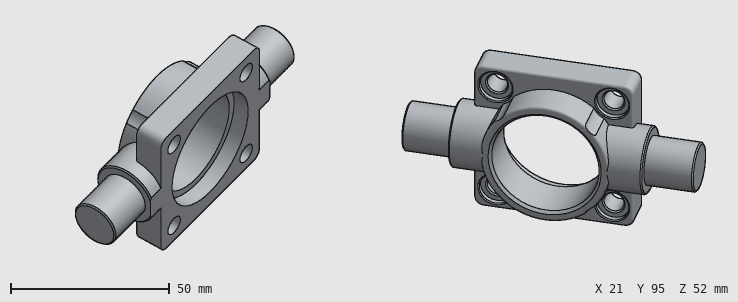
import cadquery as cq

OVERALL_LENGTH = 95.0
PIN_DIAMETER = 16.0
COLLAR_LENGTH = 63.1
COLLAR_DIAMETER = 22.0
TRUNNION_CHAMFER = 0.5

PLATE_SIDE = 52.0
PLATE_THICKNESS = 10.0
PLATE_CORNER_RADIUS = 3.0
EDGE_RADIUS = 0.95

RING_DIAMETER = 42.0
RING_HEIGHT = COLLAR_DIAMETER / 2
BORE_DIAMETER = 35.0
BORE_CHAMFER = 0.95
REAR_RECESS_DIAMETER = 40.1
REAR_RECESS_DEPTH = 5.5

BOLT_SPACING = 38.0
BOLT_HOLE_DIAMETER = 6.6
BOLT_HOLE_CHAMFER = 0.5
COUNTERBORE_DIAMETER = 10.7
COUNTERBORE_DEPTH = 2.0
COUNTERBORE_CHAMFER = 0.4
BOLT_HEAD_CLEARANCE_DIAMETER = 12.9


def cylinder_along_x(diameter, start, end):
    return cq.Workplane("YZ", origin=(start, 0, 0)).circle(diameter / 2).extrude(end - start)


def chamfered_cylinder_along_y(diameter, length):
    rod = cq.Workplane("XZ").circle(diameter / 2).extrude(length / 2, both=True)
    return rod.faces("<Y or >Y").chamfer(TRUNNION_CHAMFER)


def countersink_along_x(diameter, chamfer, start):
    """Cone that breaks the front edge of a hole of the given diameter."""
    mouth = cq.Workplane("YZ", origin=(start, 0, 0)).circle(diameter / 2 + chamfer)
    return mouth.workplane(offset=chamfer).circle(diameter / 2).loft()


def make_plate():
    plate = cq.Workplane("YZ").rect(PLATE_SIDE, PLATE_SIDE).extrude(PLATE_THICKNESS)
    plate = plate.edges("|X").fillet(PLATE_CORNER_RADIUS)
    return plate.faces("<X").edges().fillet(EDGE_RADIUS)


def make_ring():
    ring = cylinder_along_x(RING_DIAMETER, -RING_HEIGHT, PLATE_THICKNESS)
    ring = ring.faces("<X").edges().fillet(EDGE_RADIUS)
    clearance = cylinder_along_x(BOLT_HEAD_CLEARANCE_DIAMETER, -RING_HEIGHT, 0)
    return ring.cut(at_bolt_positions(clearance))


def make_trunnion():
    collar = chamfered_cylinder_along_y(COLLAR_DIAMETER, COLLAR_LENGTH)
    behind_plate = cq.Workplane("YZ", origin=(PLATE_THICKNESS, 0, 0)).rect(OVERALL_LENGTH, PLATE_SIDE)
    collar = collar.cut(behind_plate.extrude(COLLAR_DIAMETER))
    return collar.union(chamfered_cylinder_along_y(PIN_DIAMETER, OVERALL_LENGTH))


def make_bore():
    bore = cylinder_along_x(BORE_DIAMETER, -RING_HEIGHT, PLATE_THICKNESS)
    bore = bore.union(countersink_along_x(BORE_DIAMETER, BORE_CHAMFER, -RING_HEIGHT))
    rear_recess_floor = PLATE_THICKNESS - REAR_RECESS_DEPTH
    return bore.union(cylinder_along_x(REAR_RECESS_DIAMETER, rear_recess_floor, PLATE_THICKNESS))


def make_bolt_hole():
    hole = cylinder_along_x(BOLT_HOLE_DIAMETER, 0, PLATE_THICKNESS)
    hole = hole.union(cylinder_along_x(COUNTERBORE_DIAMETER, 0, COUNTERBORE_DEPTH))
    hole = hole.union(countersink_along_x(COUNTERBORE_DIAMETER, COUNTERBORE_CHAMFER, 0))
    return hole.union(countersink_along_x(BOLT_HOLE_DIAMETER, BOLT_HOLE_CHAMFER, COUNTERBORE_DEPTH))


def at_bolt_positions(shape):
    copies = cq.Workplane("YZ")
    for side_y in (-1, 1):
        for side_z in (-1, 1):
            offset = (0, side_y * BOLT_SPACING / 2, side_z * BOLT_SPACING / 2)
            copies = copies.add(shape.translate(offset))
    return copies.combine()


result = (
    make_plate()
    .union(make_ring())
    .union(make_trunnion())
    .cut(make_bore())
    .cut(at_bolt_positions(make_bolt_hole()))
)